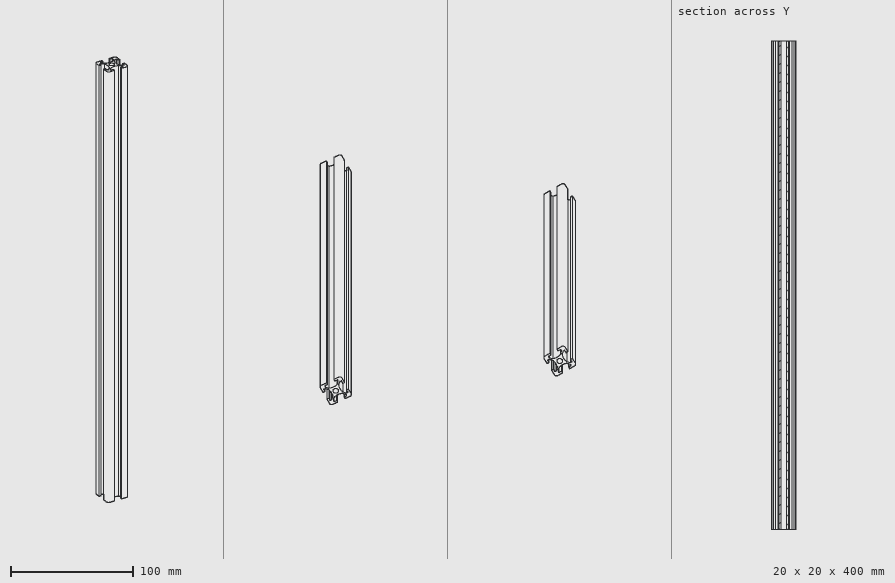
import cadquery as cq
import math

length = 400.0
side = 20.0
corner_radius = 2.0

slot_width = 7.0
lip_thickness = 1.8
cavity_width = 11.5
web_thickness = 1.4

core_width = 9.0
recess_depth = 0.6
recess_floor_width = 2.5
bore_diameter = 4.5

half_side = side / 2

web_offset = web_thickness / math.sqrt(2)


def blank():
    """Solid square bar with rounded long edges."""
    bar = cq.Workplane("XY").rect(side, side).extrude(length)
    return bar.edges("|Z").fillet(corner_radius)


def slot():
    """Cutter for the T-slot on the +Y face, down to the recessed core face."""
    half_slot = slot_width / 2
    half_cavity = cavity_width / 2
    half_core = core_width / 2
    lip_inner = half_side - lip_thickness
    right_half = [
        (half_slot, half_side),
        (half_slot, lip_inner),
        (half_cavity, lip_inner),
        (half_cavity, half_cavity + web_offset),
        (half_core - web_offset, half_core),
        (recess_floor_width / 2, half_core - recess_depth),
    ]
    left_half = [(-x, y) for x, y in reversed(right_half)]
    return cq.Workplane("XY").polyline(right_half + left_half).close().extrude(length)


def bore():
    """Cutter for the round hole through the core."""
    return cq.Workplane("XY").circle(bore_diameter / 2).extrude(length)


result = blank().cut(bore())
for angle in (0, 90, 180, 270):
    result = result.cut(slot().rotate((0, 0, 0), (0, 0, 1), angle))